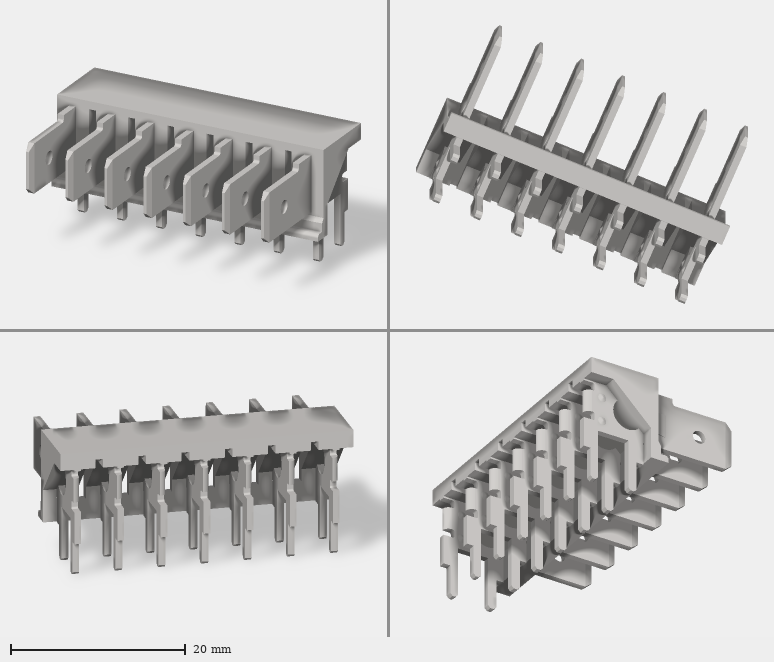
import cadquery as cq


LENGTH = 34.6
HEIGHT = 15.0
FRONT_Y = -9.03
BASE_Z = 4.12
WALL = 1.0
BACK_LIP_Z = 12.98
SLOPE_BACK_Y = -2.98
SLOPE_LOW_Z = 8.03
SLOT_WIDTH = 0.9
SLOT_TOP_Z = HEIGHT - WALL
SLOT_BOTTOM_Z = 6.57
INNER_FRONT_Y = FRONT_Y + WALL

RAIL_STEP = 0.35
RAIL_STEP_Z = 6.02
FOOT_Y = -10.38
FOOT_HEIGHT = 0.85
FOOT_ROUND = 0.45

TERMINAL_COUNT = 7
PITCH = 5.1
THICKNESS = 0.8
TOP_Z = SLOT_TOP_Z
SHOULDER_Z = 3.98
PIN_ROOT_Z = 6.57
PIN_CHAMFER = 0.3
REAR_PIN = (-1.9, -0.9)
FRONT_PIN = (-7.1, -6.0)

BLADE_TIP_Y = -20.0
BLADE_BOTTOM_Z = 6.92
BLADE_TOP_Z = 13.15
BLADE_STEP_Y = -11.95
BLADE_STEP_ROUND = 0.35
TIP_CHAMFER_LENGTH = 0.95
TIP_CHAMFER_HEIGHT = 0.8
TIP_THICKNESS = 0.35
BLADE_MID_Z = (BLADE_TOP_Z + BLADE_BOTTOM_Z) / 2
BLADE_HOLE_DIAMETER = 1.65
BLADE_HOLE_Y = -15.5
BODY_HOLE_DIAMETER = 4.0
BODY_HOLE_Y = -5.95

NOTCH_DEPTH = 1.45
NOTCH_ROUND = 0.25
LOWER_NOTCH = (7.82, 8.9)
UPPER_NOTCH = (11.75, 12.77)
BEND_BACK_Y = -0.3
DIMPLE_DIAMETER = 1.07
DIMPLE_HEIGHT = 0.2
DIMPLE_Y = -2.45
DIMPLE_LEVELS_Z = (8.05, 11.15)

LANCE_TIP_Y = -11.05
LANCE_RISE = 0.25
LANCE_ROOT_Y = -9.15
LANCE_TIP_HEIGHT = 2.98
LANCE_ROOT_HEIGHT = 2.7


def box(x_range, y_range, z_range):
    """Box spanning the three given (low, high) ranges."""
    size = [high - low for low, high in (x_range, y_range, z_range)]
    corner = (x_range[0], y_range[0], z_range[0])
    return cq.Workplane("XY").box(*size, centered=False).translate(corner)


def make_housing():
    """Extrude the housing section along the full row, including its foot rail."""
    rail_y = FRONT_Y - RAIL_STEP
    foot_top_z = BASE_Z + FOOT_HEIGHT
    return (
        cq.Workplane("YZ")
        .moveTo(0, HEIGHT)
        .lineTo(0, BACK_LIP_Z)
        .lineTo(SLOPE_BACK_Y, BACK_LIP_Z)
        .lineTo(INNER_FRONT_Y, SLOPE_LOW_Z)
        .lineTo(INNER_FRONT_Y, BASE_Z)
        .lineTo(FOOT_Y, BASE_Z)
        .lineTo(FOOT_Y, foot_top_z - FOOT_ROUND)
        .radiusArc((FOOT_Y + FOOT_ROUND, foot_top_z), FOOT_ROUND)
        .lineTo(rail_y, foot_top_z)
        .lineTo(rail_y, RAIL_STEP_Z)
        .lineTo(FRONT_Y, SLOT_BOTTOM_Z)
        .lineTo(FRONT_Y, HEIGHT)
        .close()
        .extrude(LENGTH)
    )


def slot(center_x, back_y):
    """Upright slot from the front face back to back_y."""
    half = SLOT_WIDTH / 2
    x_range = (center_x - half, center_x + half)
    return box(x_range, (FRONT_Y, back_y), (SLOT_BOTTOM_Z, SLOT_TOP_Z))


def make_terminal_plate():
    """Flat blank of one terminal with its blade and two pins, centred on X = 0."""
    step_corner_z = BLADE_TOP_Z + BLADE_STEP_ROUND
    step_corner_y = BLADE_STEP_Y - BLADE_STEP_ROUND
    plate = (
        cq.Workplane("YZ")
        .moveTo(0, TOP_Z)
        .lineTo(0, SHOULDER_Z)
        .lineTo(INNER_FRONT_Y, SHOULDER_Z)
        .lineTo(INNER_FRONT_Y, BLADE_BOTTOM_Z)
        .lineTo(BLADE_TIP_Y + TIP_CHAMFER_LENGTH, BLADE_BOTTOM_Z)
        .lineTo(BLADE_TIP_Y, BLADE_BOTTOM_Z + TIP_CHAMFER_HEIGHT)
        .lineTo(BLADE_TIP_Y, BLADE_TOP_Z - TIP_CHAMFER_HEIGHT)
        .lineTo(BLADE_TIP_Y + TIP_CHAMFER_LENGTH, BLADE_TOP_Z)
        .lineTo(step_corner_y, BLADE_TOP_Z)
        .radiusArc((BLADE_STEP_Y, step_corner_z), -BLADE_STEP_ROUND)
        .lineTo(BLADE_STEP_Y, TOP_Z)
        .close()
        .extrude(THICKNESS / 2, both=True)
    )
    half = THICKNESS / 2
    pin_gap = (FRONT_PIN[1], REAR_PIN[0])
    plate = plate.cut(box((-half, half), pin_gap, (SHOULDER_Z, PIN_ROOT_Z)))
    for y_range in (REAR_PIN, FRONT_PIN):
        pin = box((-half, half), y_range, (0, PIN_ROOT_Z))
        plate = plate.union(pin.faces("<Z").edges("|X").chamfer(PIN_CHAMFER))
    return plate


def tip_bevel(side):
    """Wedge removed from one flat side (-1 or +1) of the blade tip."""
    half = side * THICKNESS / 2
    return (
        cq.Workplane("XY")
        .moveTo(half, BLADE_TIP_Y + TIP_CHAMFER_LENGTH)
        .lineTo(half, BLADE_TIP_Y)
        .lineTo(side * TIP_THICKNESS / 2, BLADE_TIP_Y)
        .close()
        .extrude(TOP_Z)
    )


def plate_hole(y, diameter):
    """Cylinder through the plate at the mid height of the blade."""
    return (
        cq.Workplane("YZ")
        .center(y, BLADE_MID_Z)
        .circle(diameter / 2)
        .extrude(THICKNESS, both=True)
    )


def back_notch(z_range):
    """Notch in the back edge with rounded inner corners."""
    notch = box((-THICKNESS, THICKNESS), (-NOTCH_DEPTH, 0), z_range)
    return notch.faces("<Y").edges("|X").fillet(NOTCH_ROUND)


def bend_trim():
    """Material removed so the tongue between the notches curls towards +X."""
    half = THICKNESS / 2
    z_range = (LOWER_NOTCH[1], UPPER_NOTCH[0])
    bend_start_y = BEND_BACK_Y - THICKNESS
    curl = (
        cq.Workplane("XY")
        .workplane(offset=z_range[0])
        .center(half, bend_start_y)
        .circle(THICKNESS)
        .extrude(z_range[1] - z_range[0])
    )
    return box((-half, half), (bend_start_y, 0), z_range).cut(curl)


def dimple(z):
    """Small pointed bump on the -X side of the plate."""
    return cq.Workplane(
        cq.Solid.makeCone(
            DIMPLE_DIAMETER / 2,
            0,
            DIMPLE_HEIGHT,
            pnt=cq.Vector(-THICKNESS / 2, DIMPLE_Y, z),
            dir=cq.Vector(-1, 0, 0),
        )
    )


def lance():
    """Bent-out tongue, highest and narrowest at its root near the housing face."""
    face_x = -THICKNESS / 2
    outline = (
        cq.Workplane("YZ")
        .workplane(offset=face_x - LANCE_RISE)
        .moveTo(LANCE_TIP_Y, BLADE_MID_Z - LANCE_TIP_HEIGHT / 2)
        .lineTo(LANCE_ROOT_Y, BLADE_MID_Z - LANCE_ROOT_HEIGHT / 2)
        .lineTo(LANCE_ROOT_Y, BLADE_MID_Z + LANCE_ROOT_HEIGHT / 2)
        .lineTo(LANCE_TIP_Y, BLADE_MID_Z + LANCE_TIP_HEIGHT / 2)
        .close()
        .extrude(LANCE_RISE)
    )
    ramp = (
        cq.Workplane("XY")
        .moveTo(face_x, LANCE_TIP_Y)
        .lineTo(face_x, LANCE_ROOT_Y)
        .lineTo(face_x - LANCE_RISE, LANCE_ROOT_Y)
        .close()
        .extrude(TOP_Z)
    )
    return outline.intersect(ramp)


def make_terminal():
    """One finished terminal, centred on X = 0."""
    terminal = make_terminal_plate()
    for side in (-1, 1):
        terminal = terminal.cut(tip_bevel(side))
    terminal = terminal.cut(plate_hole(BLADE_HOLE_Y, BLADE_HOLE_DIAMETER))
    terminal = terminal.cut(plate_hole(BODY_HOLE_Y, BODY_HOLE_DIAMETER))
    for z_range in (LOWER_NOTCH, UPPER_NOTCH):
        terminal = terminal.cut(back_notch(z_range))
    terminal = terminal.cut(bend_trim())
    for z in DIMPLE_LEVELS_Z:
        terminal = terminal.union(dimple(z))
    return terminal.union(lance())


first_x = (LENGTH - (TERMINAL_COUNT - 1) * PITCH) / 2
terminal_xs = [first_x + i * PITCH for i in range(TERMINAL_COUNT)]

result = make_housing()
for x in terminal_xs[:-1]:
    result = result.cut(slot(x + PITCH / 2, 0))
for x in terminal_xs:
    result = result.cut(slot(x, INNER_FRONT_Y))

terminal = make_terminal()
for x in terminal_xs:
    result = result.union(terminal.translate((x, 0, 0)))